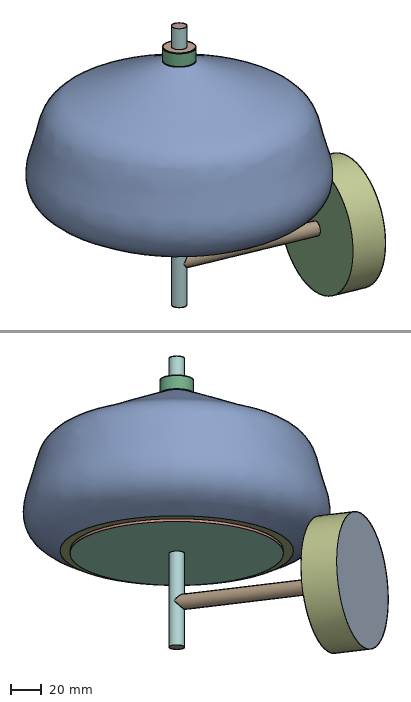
import cadquery as cq

plate_radius = 45.0
plate_thickness = 25.0
rod_diameter = 10.1
stem_top_z = 166.5
stem_bottom_z = -30.4

collar_radius = 11.0
collar_height = 10.0
collar_chamfer = 0.5
collar_bottom_z = 142.0

shade_bottom_z = 35.5
shade_bottom_radius = 76.0
widest_radius = 99.8
underside_point = (88.5, 41.9)
lower_corner_point = (96.4, 49.2)
widest_point = (widest_radius, 60.5)
mid_side_point = (94.3, 85.3)
upper_side_point = (88.5, 103.5)
shoulder_point = (79.8, 112.7)
lower_cone_point = (66.7, 118.5)
mid_cone_point = (43.2, 128.3)
upper_cone_point = (23.0, 136.8)

overall_depth = 230.0
plate_back_y = overall_depth - widest_radius

disc_radius = 69.5
disc_thickness = 3.0
disc_bottom_z = 33.5
disc_top_z = disc_bottom_z + disc_thickness


def upright_cylinder(radius, bottom_z, top_z):
    """Solid cylinder on the Z axis between two heights."""
    return cq.Workplane("XY").workplane(offset=bottom_z).circle(radius).extrude(top_z - bottom_z)


def cylinder_along_y(radius, start_y, end_y):
    """Solid cylinder on the Y axis between two Y positions."""
    return cq.Workplane("XZ").workplane(offset=-end_y).circle(radius).extrude(end_y - start_y)


def make_stem():
    return upright_cylinder(rod_diameter / 2, stem_bottom_z, stem_top_z)


def make_bracket():
    plate_front_y = plate_back_y - plate_thickness
    arm = cylinder_along_y(rod_diameter / 2, 0, plate_front_y)
    plate = cylinder_along_y(plate_radius, plate_front_y, plate_back_y)
    return make_stem().union(arm).union(plate)


def make_collar():
    collar = upright_cylinder(collar_radius, collar_bottom_z, collar_bottom_z + collar_height)
    return collar.edges().chamfer(collar_chamfer).cut(make_stem())


def make_disc():
    return upright_cylinder(disc_radius, disc_bottom_z, disc_top_z)


def make_shade():
    curve_points = [
        underside_point,
        lower_corner_point,
        widest_point,
        mid_side_point,
        upper_side_point,
        shoulder_point,
        lower_cone_point,
        mid_cone_point,
        upper_cone_point,
        (collar_radius, collar_bottom_z),
    ]
    body = (
        cq.Workplane("XZ")
        .moveTo(0, shade_bottom_z)
        .lineTo(shade_bottom_radius, shade_bottom_z)
        .spline(curve_points, includeCurrent=True)
        .lineTo(0, collar_bottom_z)
        .close()
        .revolve()
    )
    return body.cut(make_disc()).cut(make_stem())


bracket = make_bracket()
collar = make_collar()
shade = make_shade()
disc = make_disc().cut(make_stem())

result = cq.Compound.makeCompound([bracket.val(), collar.val(), shade.val(), disc.val()])